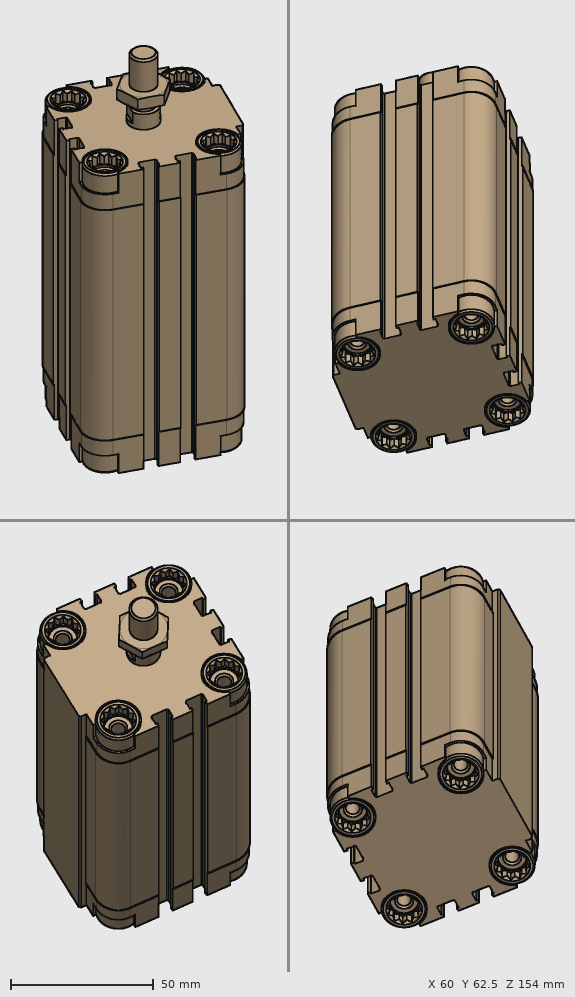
import cadquery as cq
import math


tube_half = 30.0
cap_half = 29.7
body_height = 125.5
cap_height = 14.5
corner_center = 21.0

rail_top = 32.5
rail_half = 13.7
rail_chamfer = 0.6

slot_offset = 6.8
slot_mouth = 5.7
slot_throat = 5.2
slot_width = 6.8
slot_depth = 5.1
slot_corner_chamfer = 0.5
lip_depth = 1.5

head_diameter = 16.0
head_height = 8.0
head_chamfer_width = 0.6
head_chamfer_height = 0.8
recess_overlap = 2.2
socket_points = 12
socket_outer_diameter = 12.0
socket_inner_diameter = 10.2
socket_depth = 4.6
lead_in_diameter = 12.6
lead_in_height = 1.1
pit_diameter = 10.0
pit_depth = 1.0
screw_bore = 5.0
bore_mouth = 6.5

rod_diameter = 12.0
rod_top = 132.0
flat_width = 10.0
flat_bottom = 127.4
neck_diameter = 8.6
thread_diameter = 10.0
thread_tip_diameter = 8.5
thread_bottom = 134.8
thread_top = 154.0
thread_chamfer = (thread_diameter - thread_tip_diameter) / 2
runout_height = 1.1

nut_width = 17.0
nut_bottom = 136.0
nut_height = 4.8
nut_face_diameter = 16.8
nut_chamfer_angle = 10


def rounded_block(half, height, base):
    """Square block whose corners are rounded about the screw axes."""
    block = cq.Workplane("XY").box(2 * half, 2 * half, height, centered=(True, True, False))
    return block.edges("|Z").fillet(half - corner_center).translate((0, 0, base))


def sensor_rail():
    outline = [
        (-rail_half, 0),
        (-rail_half, rail_top - rail_chamfer),
        (-rail_half + rail_chamfer, rail_top),
        (rail_half - rail_chamfer, rail_top),
        (rail_half, rail_top - rail_chamfer),
        (rail_half, 0),
    ]
    return cq.Workplane("XY").polyline(outline).close().extrude(body_height)


def slot_pair():
    """Cutter for the two undercut slots of the -Y side, with lips that taper inward."""
    half_outline = [
        (slot_mouth / 2, 0),
        (slot_throat / 2, lip_depth),
        (slot_width / 2, lip_depth),
        (slot_width / 2, slot_depth - slot_corner_chamfer),
        (slot_width / 2 - slot_corner_chamfer, slot_depth),
    ]
    outline = half_outline + [(-x, y) for x, y in reversed(half_outline)]
    slot = cq.Workplane("XY").polyline(outline).close().extrude(body_height)
    left_slot = slot.translate((-slot_offset, -tube_half, 0))
    right_slot = slot.translate((slot_offset, -tube_half, 0))
    return left_slot.union(right_slot)


def top_corner_recess():
    """Square cutter that removes the cap corner around the screw head at +X +Y."""
    size = 2 * head_diameter
    near_side = corner_center - recess_overlap
    return (
        cq.Workplane("XY")
        .box(size, size, head_height, centered=False)
        .translate((near_side, near_side, body_height - head_height))
    )


def top_head_pocket():
    """Round cutter that makes room in the cap for the screw head at +X +Y."""
    pocket = cq.Workplane("XY").circle(head_diameter / 2).extrude(head_height)
    return pocket.translate((corner_center, corner_center, body_height - head_height))


def screw_head():
    """Head of the corner screw at +X +Y, with its multi-point socket."""
    star = []
    for index in range(2 * socket_points):
        diameter = socket_outer_diameter if index % 2 == 0 else socket_inner_diameter
        angle = math.pi * index / socket_points
        star.append((diameter / 2 * math.cos(angle), diameter / 2 * math.sin(angle)))

    head_radius = head_diameter / 2
    profile = [
        (0, 0),
        (head_radius, 0),
        (head_radius, head_height - head_chamfer_height),
        (head_radius - head_chamfer_width, head_height),
        (0, head_height),
    ]
    head = cq.Workplane("XZ").polyline(profile).close().revolve(360, (0, 0), (0, 1))

    socket_floor = head_height - socket_depth
    pit_floor = socket_floor - pit_depth
    mouth_depth = (bore_mouth - screw_bore) / 2
    socket = cq.Workplane("XY").workplane(offset=socket_floor).polyline(star).close().extrude(socket_depth)
    pit = cq.Workplane("XY").workplane(offset=pit_floor).circle(pit_diameter / 2).extrude(pit_depth)
    lead_in_base = cq.Vector(0, 0, head_height - lead_in_height)
    lead_in = cq.Solid.makeCone(socket_inner_diameter / 2, lead_in_diameter / 2, lead_in_height, lead_in_base)
    mouth_base = cq.Vector(0, 0, pit_floor - mouth_depth)
    mouth = cq.Solid.makeCone(screw_bore / 2, bore_mouth / 2, mouth_depth, mouth_base)
    head = head.cut(socket).cut(pit).cut(cq.Workplane(lead_in)).cut(cq.Workplane(mouth))
    return head.translate((corner_center, corner_center, body_height - head_height))


def at_all_corners(shape):
    """Eight copies of a +X +Y top corner shape: four corners at the top and four at the bottom."""
    copies = []
    for quarter in range(4):
        top_copy = shape.rotate((0, 0, 0), (0, 0, 1), 90 * quarter)
        bottom_copy = top_copy.mirror("XY", (0, 0, body_height / 2))
        copies += [top_copy, bottom_copy]
    return copies


def make_housing():
    housing = rounded_block(cap_half, body_height, 0)
    housing = housing.union(rounded_block(tube_half, body_height - 2 * cap_height, cap_height))
    housing = housing.union(sensor_rail())
    for side in range(-1, 2):
        housing = housing.cut(slot_pair().rotate((0, 0, 0), (0, 0, 1), 90 * side))

    for recess in at_all_corners(top_corner_recess()):
        housing = housing.cut(recess)
    for pocket in at_all_corners(top_head_pocket()):
        housing = housing.cut(pocket)
    for head in at_all_corners(screw_head()):
        housing = housing.union(head)
    bores = (
        cq.Workplane("XY")
        .rect(2 * corner_center, 2 * corner_center, forConstruction=True)
        .vertices()
        .circle(screw_bore / 2)
        .extrude(body_height)
    )
    return housing.cut(bores)


def make_rod():
    profile = [
        (0, body_height),
        (rod_diameter / 2, body_height),
        (rod_diameter / 2, rod_top),
        (neck_diameter / 2, rod_top),
        (neck_diameter / 2, thread_bottom - runout_height),
        (thread_diameter / 2, thread_bottom),
        (thread_diameter / 2, thread_top - thread_chamfer),
        (thread_tip_diameter / 2, thread_top),
        (0, thread_top),
    ]
    rod = cq.Workplane("XZ").polyline(profile).close().revolve(360, (0, 0), (0, 1))

    for side in (-1, 1):
        cutter = cq.Workplane("XY").box(
            rod_diameter, rod_diameter, rod_top - flat_bottom, centered=(True, True, False)
        )
        rod = rod.cut(cutter.translate((0, side * (flat_width + rod_diameter) / 2, flat_bottom)))
    return rod


def make_nut():
    corner_radius = nut_width / math.sqrt(3)
    nut = (
        cq.Workplane("XY")
        .polygon(6, 2 * corner_radius)
        .extrude(nut_height)
        .rotate((0, 0, 0), (0, 0, 1), 30)
    )
    drop = (corner_radius - nut_face_diameter / 2) * math.tan(math.radians(nut_chamfer_angle))
    envelope = [
        (0, 0),
        (nut_face_diameter / 2, 0),
        (corner_radius, drop),
        (corner_radius, nut_height - drop),
        (nut_face_diameter / 2, nut_height),
        (0, nut_height),
    ]
    nut = nut.intersect(cq.Workplane("XZ").polyline(envelope).close().revolve(360, (0, 0), (0, 1)))
    nut = nut.cut(cq.Workplane("XY").circle(thread_diameter / 2).extrude(nut_height))
    return nut.translate((0, 0, nut_bottom))


housing = make_housing()
rod = make_rod()
nut = make_nut()

result = cq.Compound.makeCompound([housing.val(), rod.val(), nut.val()])